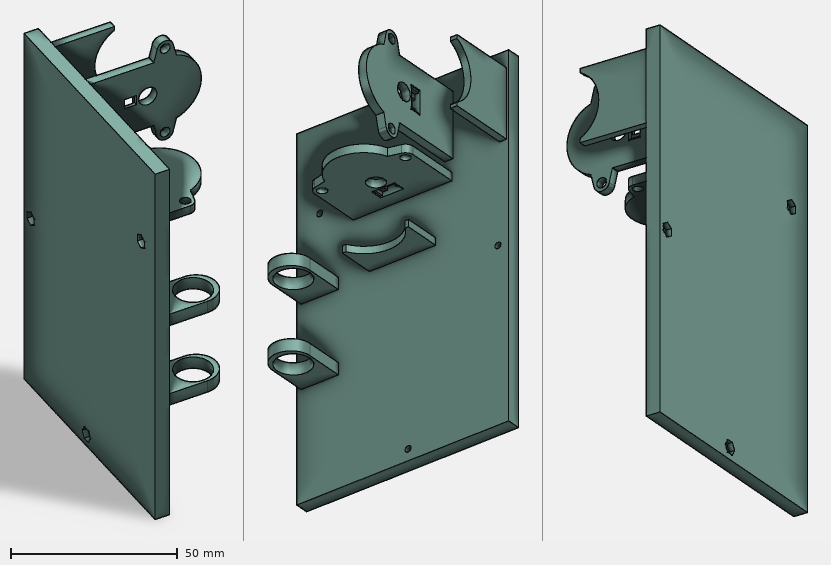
import cadquery as cq
import math

PLATE_WIDTH = 80.0
PLATE_HEIGHT = 130.0
PLATE_THICKNESS = 5.0
OVERALL_DEPTH = 47.5
OVERLAP = 1.3

SCREWS = [(71.2, 98.9, 30), (4.0, 62.9, 30), (38.0, 4.2, 0)]
SCREW_DIAMETER = 2.2
NUT_ACROSS_FLATS = 4.3
NUT_DEPTH = 2.0

MOTOR_RADIUS = 12.5
SHAFT_OFFSET = 6.0
SHAFT_HOLE_DIAMETER = 6.2
LUG_PITCH = 15.7
LUG_RADIUS = 2.9
LUG_BASE_HALF = 3.9
LUG_HOLE_DIAMETER = 3.4
LUG_REACH = LUG_PITCH + LUG_RADIUS

BRACKET_THICKNESS = 3.0
BRACKET_HALF_WIDTH = 11.8
SLOT_WIDTH = 3.4
SLOT_LENGTH = 4.0
SLOT_GAP = 3.9
RECESS_GAP = 3.6
RECESS_STEPS = [(8.6, 0.5), (7.2, 1.8)]

CRADLE_THICKNESS = 2.6
CRADLE_GAP = 17.7
CRADLE_DROP = 5.7

SIDE_MOTOR_Y = OVERALL_DEPTH - MOTOR_RADIUS
SIDE_MOTOR_Z = 111.4
SIDE_BRACKET_X = 24.0

LEVEL_MOTOR_X = PLATE_WIDTH / 2
LEVEL_MOTOR_Y = 24.0
LEVEL_BRACKET_Z = 94.9

RING_X = 71.2
RING_BORE_Y = 18.0
RING_BORE_DIAMETER = 12.2
RING_RADIUS = 7.0
RING_TOP_Y = 26.0
RING_THICKNESS = 4.3
RING_BOTTOMS = [69.7, 39.8]


def slab(width, y_low, y_high, z_low, thickness):
    """Block centred on X = 0 between two heights in Y."""
    return (
        cq.Workplane("XY")
        .box(width, y_high - y_low, thickness, centered=(True, False, False))
        .translate((0, y_low, z_low))
    )


def cylinder(x, y, radius, z_low, thickness):
    return cq.Workplane("XY", origin=(x, y, z_low)).circle(radius).extrude(thickness)


def lug(side):
    """Tapered ear with a rounded end; its flanks are tangent to the end arc."""
    root = BRACKET_HALF_WIDTH
    run = LUG_PITCH - root
    tangent_angle = math.atan2(LUG_BASE_HALF, -run) - math.acos(LUG_RADIUS / math.hypot(run, LUG_BASE_HALF))
    tangent_x = side * (LUG_PITCH + LUG_RADIUS * math.cos(tangent_angle))
    tangent_y = LUG_RADIUS * math.sin(tangent_angle)
    return (
        cq.Workplane("XY", origin=(0, 0, -BRACKET_THICKNESS))
        .moveTo(0, -LUG_BASE_HALF)
        .lineTo(side * root, -LUG_BASE_HALF)
        .lineTo(tangent_x, -tangent_y)
        .threePointArc((side * LUG_REACH, 0), (tangent_x, tangent_y))
        .lineTo(side * root, LUG_BASE_HALF)
        .lineTo(0, LUG_BASE_HALF)
        .close()
        .extrude(BRACKET_THICKNESS)
    )


def motor_mount(motor_y, with_support):
    """Bracket and cradle for a motor centred on the origin, shaft pointing to +Z, plate at -Y."""
    foot = PLATE_THICKNESS - OVERLAP - motor_y
    bottom = -BRACKET_THICKNESS
    mount = cylinder(0, 0, MOTOR_RADIUS, bottom, BRACKET_THICKNESS)
    mount = mount.union(slab(2 * BRACKET_HALF_WIDTH, foot, -LUG_BASE_HALF, bottom, BRACKET_THICKNESS))
    for side in (-1, 1):
        mount = mount.union(lug(side))
    if with_support:
        mount = mount.union(slab(2 * LUG_REACH, foot, 0, bottom, BRACKET_THICKNESS))

    for side in (-1, 1):
        mount = mount.cut(cylinder(side * LUG_PITCH, 0, LUG_HOLE_DIAMETER / 2, bottom, BRACKET_THICKNESS))
    mount = mount.cut(cylinder(0, -SHAFT_OFFSET, SHAFT_HOLE_DIAMETER / 2, bottom, BRACKET_THICKNESS))

    slot_high = -SHAFT_OFFSET - SLOT_GAP
    slot_low = slot_high - SLOT_LENGTH
    mount = mount.cut(slab(SLOT_WIDTH, slot_low, slot_high, bottom, BRACKET_THICKNESS))
    for recess_width, recess_depth in RECESS_STEPS:
        mount = mount.cut(slab(recess_width, slot_low, -SHAFT_OFFSET - RECESS_GAP, bottom, recess_depth))

    cradle_bottom = bottom - CRADLE_GAP - CRADLE_THICKNESS
    cradle = slab(2 * MOTOR_RADIUS, foot, -CRADLE_DROP, cradle_bottom, CRADLE_THICKNESS)
    cradle = cradle.cut(cylinder(0, 0, MOTOR_RADIUS, cradle_bottom, CRADLE_THICKNESS))
    return mount.union(cradle)


def ring_post(z_low):
    """Upright post with a round top and a bore for a rod along Z."""
    arc_y = RING_TOP_Y - RING_RADIUS
    post = slab(2 * RING_RADIUS, PLATE_THICKNESS - OVERLAP, arc_y, z_low, RING_THICKNESS)
    post = post.union(cylinder(0, arc_y, RING_RADIUS, z_low, RING_THICKNESS))
    post = post.cut(cylinder(0, RING_BORE_Y, RING_BORE_DIAMETER / 2, z_low, RING_THICKNESS))
    return post.translate((RING_X, 0, 0))


def screw_hole(x, z, turn):
    """Through hole and nut pocket, cut from the front face along +Y."""
    nut_diameter = NUT_ACROSS_FLATS / math.cos(math.pi / 6)
    hole = cq.Workplane("XY").circle(SCREW_DIAMETER / 2).extrude(PLATE_THICKNESS)
    nut = cq.Workplane("XY").polygon(6, nut_diameter).extrude(NUT_DEPTH)
    tool = hole.union(nut).rotate((0, 0, 0), (0, 0, 1), turn)
    return tool.rotate((0, 0, 0), (1, 0, 0), -90).translate((x, 0, z))


result = cq.Workplane("XY").box(PLATE_WIDTH, PLATE_THICKNESS, PLATE_HEIGHT, centered=False)

side_mount = motor_mount(SIDE_MOTOR_Y, with_support=False).rotate((0, 0, 0), (0, 1, 0), 90)
result = result.union(side_mount.translate((SIDE_BRACKET_X, SIDE_MOTOR_Y, SIDE_MOTOR_Z)))

level_mount = motor_mount(LEVEL_MOTOR_Y, with_support=True)
result = result.union(level_mount.translate((LEVEL_MOTOR_X, LEVEL_MOTOR_Y, LEVEL_BRACKET_Z)))

for ring_bottom in RING_BOTTOMS:
    result = result.union(ring_post(ring_bottom))

for screw_x, screw_z, hex_turn in SCREWS:
    result = result.cut(screw_hole(screw_x, screw_z, hex_turn))